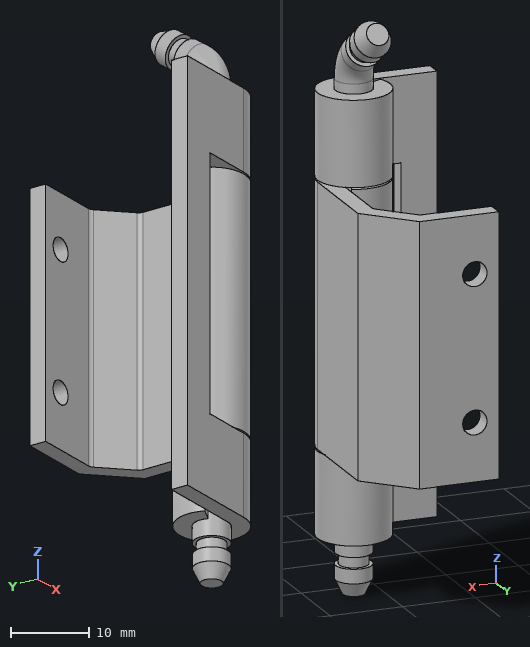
import cadquery as cq
import math


overall_width = 17.5
overall_depth = 25.0
overall_height = 78.95

knuckle_diameter = 10.0
knuckle_radius = knuckle_diameter / 2
pin_radius = knuckle_radius / 2
sheet = knuckle_radius - pin_radius
curl_angle = 295.0

frame_base = 8.0
frame_height = 60.0
mid_height = frame_base + frame_height / 2
frame_reach = overall_width - knuckle_radius
window_reach = 7.5

door_height = 36.0
knuckle_gap = 0.2
window_height = door_height + 2 * knuckle_gap
door_back = overall_depth - knuckle_radius
door_reach = 12.0
door_corner_cut = 6.1
door_bend_radius = 1.0
screw_hole_diameter = 3.3
screw_hole_offset = 8.7
screw_hole_pitch = 20.0

tip_radius = 1.5
tip_taper = 2.05
tip_land = 2.0
groove_width = 1.6
groove_radius = 2.0
bent_end_length = 7.5
bend_angle = 55.0
bend_radius = 5.0


def polar(radius, degrees):
    """Point at a radius and an angle about the pin axis."""
    angle = math.radians(degrees)
    return (radius * math.cos(angle), radius * math.sin(angle))


def curl(bottom, height):
    """Rolled knuckle that starts straight below the axis and runs counter-clockwise."""
    start = -90.0
    middle = start + curl_angle / 2
    end = start + curl_angle
    return (
        cq.Workplane("XY", origin=(0, 0, bottom))
        .moveTo(*polar(knuckle_radius, start))
        .threePointArc(polar(knuckle_radius, middle), polar(knuckle_radius, end))
        .lineTo(*polar(pin_radius, end))
        .threePointArc(polar(pin_radius, middle), polar(pin_radius, start))
        .close()
        .extrude(height)
    )


def make_frame_leaf():
    """Flat front plate rolled into a knuckle, with a window for the door knuckle."""
    plate = cq.Workplane("XY", origin=(-frame_reach, -knuckle_radius, frame_base)).box(
        frame_reach, sheet, frame_height, centered=False
    )
    window = cq.Workplane("XY", origin=(-window_reach, 0, mid_height)).box(
        window_reach + knuckle_radius, knuckle_diameter, window_height, centered=(False, True, True)
    )
    return plate.union(curl(frame_base, frame_height)).cut(window)


def make_door_leaf():
    """Side wall, sloped corner and back flange, rolled into the middle knuckle."""
    bottom = mid_height - door_height / 2
    inner_shift = sheet * math.tan(math.radians(45 / 2))
    slope_side_y = door_back - door_corner_cut
    slope_back_x = knuckle_radius - door_corner_cut
    inner_side = (pin_radius, slope_side_y - inner_shift)
    inner_back = (slope_back_x - inner_shift, door_back - sheet)

    strip = (
        cq.Workplane("XY", origin=(0, 0, bottom))
        .polyline([
            (pin_radius, 0),
            (knuckle_radius, 0),
            (knuckle_radius, slope_side_y),
            (slope_back_x, door_back),
            (-door_reach, door_back),
            (-door_reach, door_back - sheet),
            inner_back,
            inner_side,
        ])
        .close()
        .extrude(door_height)
    )
    for x, y in (inner_side, inner_back):
        corner = cq.selectors.NearestToPointSelector((x, y, mid_height))
        strip = strip.edges(corner).fillet(door_bend_radius)

    knuckle = curl(bottom, door_height).mirror("XZ").rotate((0, 0, 0), (0, 0, 1), -90)

    holes = (
        cq.Workplane("XZ", origin=(-screw_hole_offset, door_back, mid_height))
        .pushPoints([(0, -screw_hole_pitch / 2), (0, screw_hole_pitch / 2)])
        .circle(screw_hole_diameter / 2)
        .extrude(sheet)
    )
    return strip.union(knuckle).cut(holes)


def pin_end(length):
    """Tapered and grooved pin end along Z, with its tip at the origin."""
    groove_start = tip_taper + tip_land
    groove_end = groove_start + groove_width
    return (
        cq.Workplane("XZ")
        .polyline([
            (0, 0),
            (tip_radius, 0),
            (pin_radius, tip_taper),
            (pin_radius, groove_start),
            (groove_radius, groove_start),
            (groove_radius, groove_end),
            (pin_radius, groove_end),
            (pin_radius, length),
            (0, length),
        ])
        .close()
        .revolve(360, (0, 0, 0), (0, 1, 0))
    )


def make_pin():
    """Straight shank, a bend toward +Y, and a second grooved end after the bend."""
    angle = math.radians(bend_angle)
    bend_rise = bend_radius * math.sin(angle)
    bend_offset = bend_radius * (1 - math.cos(angle))
    end_rise = bent_end_length * math.cos(angle)
    end_offset = bent_end_length * math.sin(angle)
    tip_z = overall_height - tip_radius * math.sin(angle)
    bend_start = tip_z - end_rise - bend_rise

    shank = pin_end(bend_start)
    bend = (
        cq.Workplane("XY", origin=(0, 0, bend_start))
        .circle(pin_radius)
        .revolve(bend_angle, (0, bend_radius, 0), (-1, bend_radius, 0))
    )
    bent_end = (
        pin_end(bent_end_length)
        .rotate((0, 0, 0), (1, 0, 0), 180 - bend_angle)
        .translate((0, bend_offset + end_offset, tip_z))
    )
    return shank.union(bend).union(bent_end)


frame_leaf = make_frame_leaf()
door_leaf = make_door_leaf()
pin = make_pin()

result = cq.Compound.makeCompound([
    frame_leaf.solids().val(),
    door_leaf.solids().val(),
    pin.solids().val(),
])